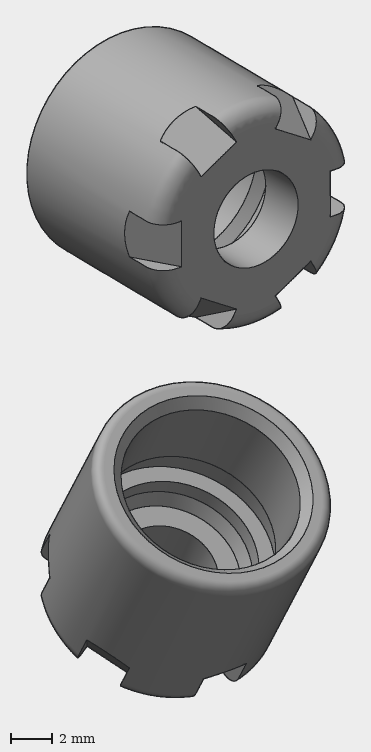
import cadquery as cq
import math

length = 10.8
outer_radius = 6.0
mouth_fillet = 0.5
end_fillet = 1.0

bore_radius = 4.5
bore_chamfer = 0.5
relief_radius = bore_radius + bore_chamfer
bore_end = 4.9
relief_end = 6.7

seat_mouth_radius = 4.165
seat_throat_radius = 4.07
seat_floor_radius = 3.67
seat_lead_length = 0.8
cone_half_angle = 30.0
through_hole_radius = 2.55

notch_count = 6
notch_width = 2.47
notch_start = 8.2
notch_floor_angle = 30.0
notch_overshoot = 1.0


def make_body():
    body = cq.Workplane("YZ").circle(outer_radius).extrude(length)
    body = body.faces("<X").edges().fillet(mouth_fillet)
    return body.faces(">X").edges().fillet(end_fillet)


def make_cavity():
    """Revolve the stepped bore, listed as (x, radius) from the mouth inwards."""
    throat_x = relief_end + seat_lead_length
    cone_length = (seat_throat_radius - seat_floor_radius) / math.tan(math.radians(cone_half_angle))
    floor_x = throat_x + cone_length
    profile = [
        (0, 0),
        (0, relief_radius),
        (bore_chamfer, bore_radius),
        (bore_end, bore_radius),
        (bore_end + bore_chamfer, relief_radius),
        (relief_end, relief_radius),
        (relief_end, seat_mouth_radius),
        (throat_x, seat_throat_radius),
        (floor_x, seat_floor_radius),
        (floor_x, through_hole_radius),
        (length, through_hole_radius),
        (length, 0),
    ]
    return cq.Workplane("XY").polyline(profile).close().revolve(360, (0, 0, 0), (1, 0, 0))


def make_notch():
    """Wedge on the -Y side whose floor leaves the outer surface at notch_start."""
    slope = math.tan(math.radians(notch_floor_angle))
    run_out = length + notch_overshoot
    lead_in = notch_start - notch_overshoot
    top_radius = outer_radius + notch_overshoot * slope
    floor_radius = outer_radius - (run_out - notch_start) * slope
    wedge = [(lead_in, -top_radius), (run_out, -top_radius), (run_out, -floor_radius)]
    return cq.Workplane("XY").polyline(wedge).close().extrude(notch_width / 2, both=True)


result = make_body().cut(make_cavity())
notch = make_notch()
for index in range(notch_count):
    angle = index * 360 / notch_count
    result = result.cut(notch.rotate((0, 0, 0), (1, 0, 0), angle))